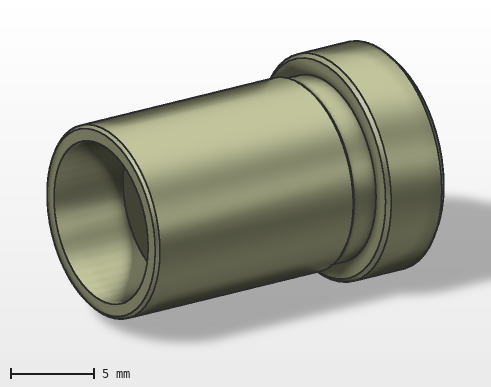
import cadquery as cq

total_length = 20.4
head_diameter = 14.0
head_length = 4.4
head_back_chamfer = 0.5
head_front_chamfer = 0.25

body_diameter = 11.9
body_chamfer = 0.2
bore_diameter = 10.0
bore_depth = 5.0

groove_diameter = body_diameter - 2 * body_chamfer
groove_length = 1.6

body_length = total_length - head_length - groove_length


def cylinder(diameter, start, length):
    """Cylinder along +Y beginning at the given Y position."""
    plane = cq.Workplane("XZ", origin=(0, start, 0))
    return plane.circle(diameter / 2).extrude(-length)


def make_head():
    head = cylinder(head_diameter, total_length - head_length, head_length)
    head = head.faces(">Y").edges().chamfer(head_back_chamfer)
    return head.faces("<Y").edges().chamfer(head_front_chamfer)


def make_body():
    body = cylinder(body_diameter, 0, body_length)
    return body.faces("<Y or >Y").edges().chamfer(body_chamfer)


groove = cylinder(groove_diameter, body_length, groove_length)
bore = cylinder(bore_diameter, 0, bore_depth)

result = make_body().union(groove).union(make_head()).cut(bore)